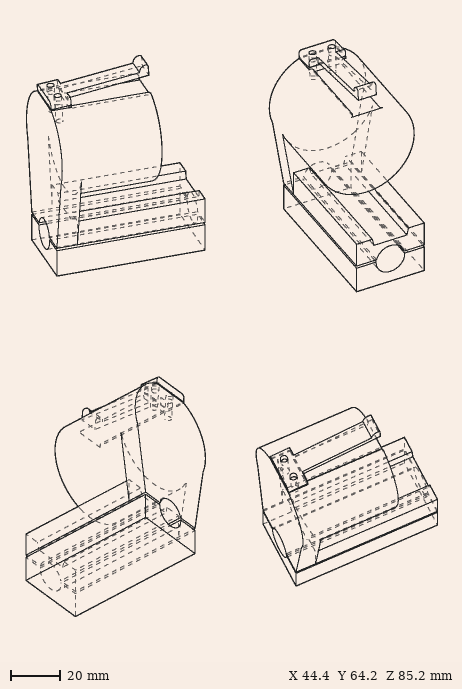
import cadquery as cq
import math

overall_height = 85.2
overall_length = 64.0
clamp_width = 31.2
cap_height = 12.0
clamp_gap = 1.1
rail_top_z = 24.2
bore_diameter = 13.1
bore_z = 11.6

plate_thickness = 8.9
plate_taper_top_z = 45.5

drum_diameter = 44.4
drum_z = 53.5
drum_length = 43.4
drum_rim_fillet = 1.0

channel_width = 12.4
channel_floor_z = 72.2
channel_edge_fillet = 1.6

trough_top_width = 16.7
trough_floor_width = 15.2
trough_depth = 3.3

lever_tilt = 4.0
seat_setback = 0.1
seat_front_z = 74.4
base_width = 16.9
base_length = 8.7
base_thickness = 3.5
base_edge_fillet = 1.45

arm_width = 8.3
arm_start_height = 1.0
arm_root_fillet = 0.85
lever_length = 44.0
catch_radius = 2.9
catch_edge_radius = 1.0

screw_spacing = 8.9
screw_setback = 4.4
clearance_diameter = 3.0
pilot_diameter = 2.9
pilot_depth = 8.7
drill_point_angle = 118.0

rail_bottom_z = cap_height + clamp_gap
drum_radius = drum_diameter / 2
drum_top_z = drum_z + drum_radius
crown_flat_z = drum_z + math.sqrt(drum_radius**2 - (base_width / 2) ** 2)
drum_half_width_at_taper = math.sqrt(drum_radius**2 - (plate_taper_top_z - drum_z) ** 2)
tilt_cos = math.cos(math.radians(lever_tilt))
tilt_sin = math.sin(math.radians(lever_tilt))

lever_side_plane = cq.Plane(
    origin=(0, 0, seat_front_z), xDir=(0, tilt_cos, tilt_sin), normal=(1, 0, 0)
)
seat_plane = cq.Plane(
    origin=(0, 0, seat_front_z), xDir=(1, 0, 0), normal=(0, -tilt_sin, tilt_cos)
)
screw_points = [(-screw_spacing / 2, screw_setback), (screw_spacing / 2, screw_setback)]


def front_plane(y=0):
    """Workplane facing -Y: local x is X, local y is Z, and +Y is a negative extrusion."""
    return cq.Workplane("XZ", origin=(0, y, 0))


def block(width, y_start, y_end, z_bottom, z_top):
    """Box centred on X = 0."""
    return cq.Workplane("XY").box(
        width, y_end - y_start, z_top - z_bottom, centered=(True, False, False)
    ).translate((0, y_start, z_bottom))


def rod_bore():
    return front_plane().center(0, bore_z).circle(bore_diameter / 2).extrude(-overall_length)


def make_clamp_cap():
    return block(clamp_width, 0, overall_length, 0, cap_height).cut(rod_bore())


def make_drum():
    """Drum with an edge-rounded channel, a rounded rear rim and a flat for the lever seat."""
    drum = front_plane().center(0, drum_z).circle(drum_radius).extrude(-drum_length)
    channel = block(channel_width, plate_thickness, drum_length, channel_floor_z, drum_top_z)
    drum = drum.cut(channel)
    drum = drum.edges("|Y").edges(">Z").fillet(channel_edge_fillet)
    drum = drum.faces(">Y").edges("%CIRCLE").fillet(drum_rim_fillet)

    crown = block(drum_diameter, 0, plate_thickness, crown_flat_z, drum_top_z)
    return drum.cut(crown)


def make_plate():
    """Tapered front plate between the clamp and the drum."""
    return (
        front_plane()
        .moveTo(-clamp_width / 2, rail_bottom_z)
        .lineTo(clamp_width / 2, rail_bottom_z)
        .lineTo(drum_half_width_at_taper, plate_taper_top_z)
        .lineTo(-drum_half_width_at_taper, plate_taper_top_z)
        .close()
        .extrude(-plate_thickness)
    )


def make_rail():
    """Upper clamp half with the tapered trough behind the plate."""
    rail = block(clamp_width, 0, overall_length, rail_bottom_z, rail_top_z)
    trough = (
        front_plane(plate_thickness)
        .moveTo(-trough_top_width / 2, rail_top_z)
        .lineTo(-trough_floor_width / 2, rail_top_z - trough_depth)
        .lineTo(trough_floor_width / 2, rail_top_z - trough_depth)
        .lineTo(trough_top_width / 2, rail_top_z)
        .close()
        .extrude(plate_thickness - overall_length)
    )
    return rail.cut(trough)


def make_lever_seat():
    """Wedge on the flat of the drum, sloping up towards the rear."""
    slope = math.tan(math.radians(lever_tilt))
    return (
        cq.Workplane("YZ")
        .moveTo(seat_setback, crown_flat_z)
        .lineTo(plate_thickness, crown_flat_z)
        .lineTo(plate_thickness, seat_front_z + plate_thickness * slope)
        .lineTo(seat_setback, seat_front_z + seat_setback * slope)
        .close()
        .extrude(base_width / 2, both=True)
    )


def pilot_holes():
    """Blind screw holes with drill points, square to the seat."""
    radius = pilot_diameter / 2
    point_length = radius / math.tan(math.radians(drill_point_angle / 2))
    holes = (
        cq.Workplane(seat_plane)
        .pushPoints(screw_points)
        .circle(radius)
        .extrude(-pilot_depth)
    )
    for x, setback in screw_points:
        hole_bottom = seat_plane.toWorldCoords((x, setback, -pilot_depth))
        point = cq.Solid.makeCone(radius, 0, point_length, hole_bottom, -seat_plane.zDir)
        holes = holes.union(cq.Workplane(point))
    return holes


def make_housing():
    housing = make_rail().union(make_plate()).union(make_drum()).union(make_lever_seat())
    return housing.cut(rod_bore()).cut(pilot_holes())


def make_lever_base():
    """Base plate lying on the seat, with its two long upper edges rounded."""
    base = (
        cq.Workplane(lever_side_plane)
        .rect(base_length, base_thickness, centered=False)
        .extrude(base_width / 2, both=True)
    )
    top_face = cq.selectors.DirectionMinMaxSelector(seat_plane.zDir, True)
    return base.faces(top_face).edges("not |X").fillet(base_edge_fillet)


def make_lever_arm():
    """Sloping arm with a rounded catch standing up at its tip."""
    catch_peak = lever_length - catch_edge_radius
    catch_front = catch_peak - catch_radius

    edge_center_z = overall_height - catch_edge_radius
    edge_center_height = (edge_center_z - seat_front_z - catch_peak * tilt_sin) / tilt_cos
    catch_top = edge_center_height + catch_edge_radius
    catch_foot = catch_top - catch_radius

    slope = (catch_foot - base_thickness) / (catch_front - base_length)
    arm_root = base_length / 2

    def underside(distance):
        return arm_start_height + (distance - base_length) * slope

    diagonal = math.sqrt(0.5)
    return (
        cq.Workplane(lever_side_plane)
        .moveTo(arm_root, underside(arm_root))
        .lineTo(lever_length, underside(lever_length))
        .lineTo(lever_length, edge_center_height)
        .threePointArc(
            (
                catch_peak + catch_edge_radius * diagonal,
                catch_top - catch_edge_radius * (1 - diagonal),
            ),
            (catch_peak, catch_top),
        )
        .threePointArc(
            (catch_peak - catch_radius * diagonal, catch_top - catch_radius * (1 - diagonal)),
            (catch_front, catch_foot),
        )
        .lineTo(base_length, base_thickness)
        .lineTo(arm_root, base_thickness)
        .close()
        .extrude(arm_width / 2, both=True)
    )


def make_lever():
    lever = make_lever_base().union(make_lever_arm())
    arm_root_corner = lever_side_plane.toWorldCoords((base_length, arm_start_height, 0))
    lever = (
        lever.edges("|X")
        .edges(cq.selectors.NearestToPointSelector(arm_root_corner.toTuple()))
        .fillet(arm_root_fillet)
    )
    holes = (
        cq.Workplane(seat_plane)
        .pushPoints(screw_points)
        .circle(clearance_diameter / 2)
        .extrude(base_thickness)
    )
    return lever.cut(holes)


clamp_cap = make_clamp_cap()
housing = make_housing()
lever = make_lever()

result = cq.Compound.makeCompound([clamp_cap.val(), housing.val(), lever.val()])